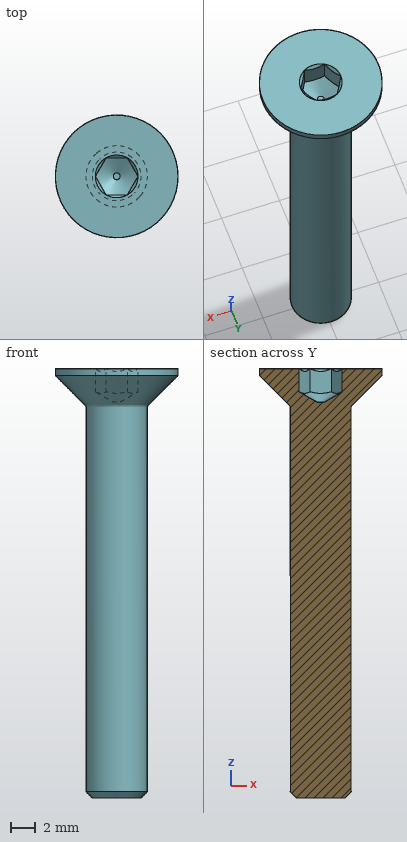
import cadquery as cq
import math

total_length = 35.0
shank_diameter = 5.0
head_diameter = 2 * shank_diameter
head_rim_height = 0.55
neck_fillet = 0.2
tip_chamfer = 0.52

socket_across_flats = 3.0
socket_depth = 1.9
socket_floor_diameter = 0.55
socket_floor_angle = 30.0
socket_entry_angle = 45.0

shank_radius = shank_diameter / 2
head_radius = head_diameter / 2
cone_height = head_radius - shank_radius
rim_bottom = total_length - head_rim_height
cone_bottom = rim_bottom - cone_height
socket_corner_radius = socket_across_flats / math.sqrt(3)


def screw_body():
    """Revolve the outer profile and round the neck between shank and head."""
    profile = (
        cq.Workplane("XZ")
        .lineTo(shank_radius - tip_chamfer, 0)
        .lineTo(shank_radius, tip_chamfer)
        .lineTo(shank_radius, cone_bottom)
        .lineTo(head_radius, rim_bottom)
        .lineTo(head_radius, total_length)
        .lineTo(0, total_length)
        .close()
    )
    body = profile.revolve(360, (0, 0), (0, 1))
    neck_edge = cq.selectors.NearestToPointSelector((0, 0, cone_bottom))
    return body.edges("%CIRCLE").edges(neck_edge).fillet(neck_fillet)


def socket_cutter():
    """Hexagonal socket with a conical floor and a bevelled entry."""
    floor_radius = socket_floor_diameter / 2
    floor_drop = (socket_corner_radius - floor_radius) * math.tan(math.radians(socket_floor_angle))
    socket_edge = total_length - socket_depth
    socket_bottom = socket_edge - floor_drop

    hexagon = (
        cq.Workplane("XY", origin=(0, 0, socket_bottom))
        .polygon(6, 2 * socket_corner_radius)
        .extrude(total_length - socket_bottom)
    )
    envelope = (
        cq.Workplane("XZ", origin=(0, 0, socket_bottom))
        .lineTo(floor_radius, 0)
        .lineTo(socket_corner_radius, floor_drop)
        .lineTo(socket_corner_radius, total_length - socket_bottom)
        .lineTo(0, total_length - socket_bottom)
        .close()
        .revolve(360, (0, 0), (0, 1))
    )
    bevel_depth = socket_corner_radius * math.tan(math.radians(socket_entry_angle))
    entry_bevel = cq.Workplane(
        cq.Solid.makeCone(
            0, socket_corner_radius, bevel_depth, pnt=cq.Vector(0, 0, total_length - bevel_depth)
        )
    )
    return hexagon.intersect(envelope).union(entry_bevel)


result = screw_body().cut(socket_cutter())